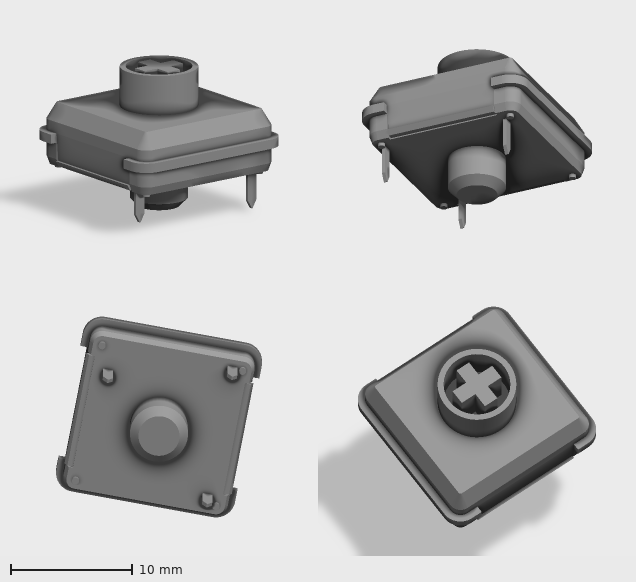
import cadquery as cq


housing_side = 13.8
housing_corner_radius = 1.0
housing_half = housing_side / 2

parting_z = 2.91
base_chamfer_height = 0.7
base_chamfer_inset = 0.25

flange_side = 15.0
flange_thickness = 0.8
flange_corner_radius = housing_corner_radius + (flange_side - housing_side) / 2

slot_width = 9.78
slot_depth = 0.6

boss_diameter = 4.8
boss_length = 3.3
boss_chamfer = 0.7

post_diameter = 0.6
post_length = 0.3
post_offset = housing_half - housing_corner_radius

pin_thickness = 0.3
pin_width = 0.84
pin_tip_width = 0.08
pin_length = 3.12
pin_point_length = 0.68
pin_y = 5.01
pin_places = [(-5.16, pin_y), (3.78, -pin_y), (5.94, pin_y)]

cover_top_z = 5.25
cover_chamfer_height = 1.38
cover_chamfer_inset = 0.82

clip_root_width = slot_width
clip_end_width = 9.63
clip_bottom_z = 0.1
hook_top_z = 0.57
hook_overhang = 0.12
hook_toe_recess = 0.12
clip_lean = 0.14

stem_diameter = 6.5
stem_bore_diameter = 5.5
stem_top_z = 8.6
stem_floor_z = cover_top_z
cross_span = 4.02
cross_arm_x_width = 1.3
cross_arm_y_width = 1.26


def rounded_block(side, corner_radius, bottom_z, top_z):
    """Square block with rounded vertical edges, centred on the Z axis."""
    return (
        cq.Workplane("XY", origin=(0, 0, bottom_z))
        .rect(side, side)
        .extrude(top_z - bottom_z)
        .edges("|Z")
        .fillet(corner_radius)
    )


def cylinder(diameter, bottom_z, top_z):
    """Upright cylinder on the Z axis."""
    return cq.Workplane("XY", origin=(0, 0, bottom_z)).circle(diameter / 2).extrude(top_z - bottom_z)


def make_pin(x, y):
    """Flat contact pin with a pointed tip, hanging below the base."""
    shoulder_z = pin_point_length - pin_length
    return (
        cq.Workplane("YZ", origin=(x - pin_thickness / 2, y, 0))
        .moveTo(-pin_width / 2, 0)
        .lineTo(-pin_width / 2, shoulder_z)
        .lineTo(-pin_tip_width / 2, -pin_length)
        .lineTo(pin_tip_width / 2, -pin_length)
        .lineTo(pin_width / 2, shoulder_z)
        .lineTo(pin_width / 2, 0)
        .close()
        .extrude(pin_thickness)
    )


def make_base():
    """Lower housing with its flange, clip slots, centre boss, posts and pins."""
    base = rounded_block(housing_side, housing_corner_radius, 0, parting_z)
    base = base.faces("<Z").chamfer(base_chamfer_height, base_chamfer_inset)

    flange_bottom_z = parting_z - flange_thickness
    base = base.union(rounded_block(flange_side, flange_corner_radius, flange_bottom_z, parting_z))

    slot_floor_y = housing_half - slot_depth
    slot_reach = flange_side / 2 - slot_floor_y
    for side in (-1, 1):
        slot = cq.Workplane("XY").box(slot_width, slot_reach, parting_z, centered=(True, True, False))
        base = base.cut(slot.translate((0, side * (slot_floor_y + slot_reach / 2), 0)))

    boss = cylinder(boss_diameter, -boss_length, 0).faces("<Z").chamfer(boss_chamfer)
    base = base.union(boss)

    posts = (
        cq.Workplane("XY")
        .rect(2 * post_offset, 2 * post_offset, forConstruction=True)
        .vertices()
        .circle(post_diameter / 2)
        .extrude(-post_length)
    )
    base = base.union(posts)

    for x, y in pin_places:
        base = base.union(make_pin(x, y))
    return base


def make_clip():
    """Snap clip on the -Y side: a leaning leaf with a hook, narrowing towards its end."""
    wall_y = -housing_half
    back_y = wall_y + slot_depth
    leaf = (
        cq.Workplane("YZ")
        .moveTo(back_y, parting_z)
        .lineTo(wall_y, parting_z)
        .lineTo(wall_y + clip_lean, hook_top_z)
        .lineTo(wall_y - hook_overhang, hook_top_z)
        .lineTo(wall_y + hook_toe_recess, clip_bottom_z)
        .lineTo(back_y, clip_bottom_z)
        .close()
        .extrude(clip_root_width / 2, both=True)
    )
    tapered_width = (
        cq.Workplane("XZ", origin=(0, back_y, 0))
        .moveTo(-clip_root_width / 2, parting_z)
        .lineTo(clip_root_width / 2, parting_z)
        .lineTo(clip_end_width / 2, clip_bottom_z)
        .lineTo(-clip_end_width / 2, clip_bottom_z)
        .close()
        .extrude(slot_depth + hook_overhang)
    )
    return leaf.intersect(tapered_width)


def make_cover():
    """Upper housing with sloped sides, a stem hole and a clip on the -Y and +Y sides."""
    cover = rounded_block(housing_side, housing_corner_radius, parting_z, cover_top_z)
    cover = cover.faces(">Z").chamfer(cover_chamfer_height, cover_chamfer_inset)
    cover = cover.cut(cylinder(stem_diameter, parting_z, cover_top_z))
    clip = make_clip()
    cover = cover.union(clip)
    cover = cover.union(clip.mirror("XZ"))
    return cover


def make_stem():
    """Round stem through the cover, hollow above its floor, with a cross inside the bore."""
    stem = cylinder(stem_diameter, parting_z, stem_top_z)
    stem = stem.cut(cylinder(stem_bore_diameter, stem_floor_z, stem_top_z))
    for length_x, length_y in ((cross_span, cross_arm_x_width), (cross_arm_y_width, cross_span)):
        arm = (
            cq.Workplane("XY", origin=(0, 0, stem_floor_z))
            .rect(length_x, length_y)
            .extrude(stem_top_z - stem_floor_z)
        )
        stem = stem.union(arm)
    return stem


base = make_base()
cover = make_cover()
stem = make_stem()

result = cq.Compound.makeCompound([body.solids().val() for body in (base, cover, stem)])